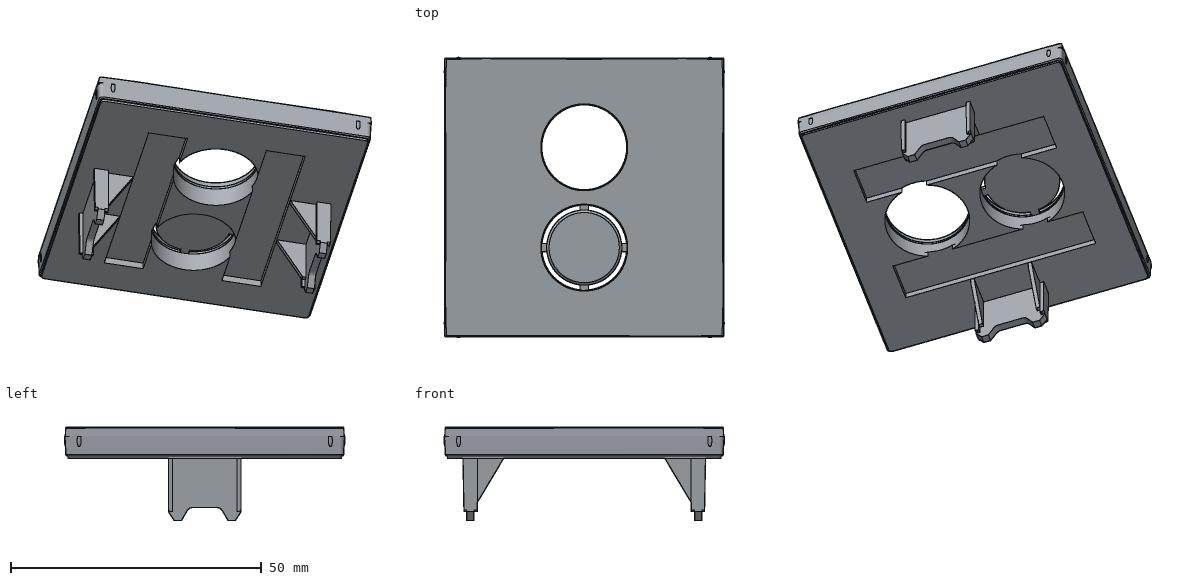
import cadquery as cq

seam_width = 55.66
top_width = 55.44
cap_depth = 1.85
cap_corner_radius = 0.3
cap_edge_chamfer = 0.25
base_depth = 5.7
base_bottom_width = 55.4
base_corner_radius = 0.75
base_bottom_chamfer = 0.25
plinth_inset = 0.4
plinth_depth = 6.22
total_height = 18.65

opening_offset = 10.0
opening_chamfer = 0.15
opening_radius = 8.52
middle_radius = 8.48
bore_radius = 8.45
middle_depth = 1.25

disc_radius = 7.5
disc_top_depth = 0.45
disc_chamfer = 0.5
disc_bottom_depth = cap_depth
spoke_width = 1.7
spoke_top_depth = 1.05
spoke_overlap = 0.5

nub_spacing = 50.1
nub_span = 55.9
nub_radius = 0.55
nub_straight_end = 2.95
nub_shoulder_depth = 3.45
nub_shoulder_radius = 0.5
nub_tip_depth = 3.95
nub_tip_radius = 0.35
nub_axis = nub_span / 2 - nub_radius

recess_inner_x = 8.05
recess_outer_x = 16.0
recess_length = 40.0
recess_depth = 1.5

leg_width = 14.5
leg_outer_x = 24.2
leg_inner_x = 21.3
leg_draft = 0.2
flange_thickness = 0.8
flange_bottom = 16.85
flange_end_chamfer_height = 0.45
flange_end_chamfer_width = 0.35
web_outer_x = 23.45
web_inner_x = 22.0
rib_inner_x = 16.05
rib_bottom = 15.0
foot_outer_y = 6.1
foot_inner_y = 4.65
notch_half_width = 3.15
notch_height = 2.6
notch_radius = 1.2
selection_margin = 0.1


def square_layer(upper_width, lower_width, top_depth, bottom_depth, corner_radius):
    """Square slab between two depths, with evenly sloping walls and rounded corners."""
    slab = cq.Workplane("XY", origin=(0, 0, -bottom_depth)).rect(lower_width, lower_width)
    slab = slab.workplane(offset=bottom_depth - top_depth).rect(upper_width, upper_width)
    return slab.loft(ruled=True).edges("not #Z").fillet(corner_radius)


def make_plate():
    cap = square_layer(top_width, seam_width, 0, cap_depth, cap_corner_radius)
    cap = cap.faces(">Z").edges().chamfer(cap_edge_chamfer)
    base = square_layer(seam_width, base_bottom_width, cap_depth, base_depth, base_corner_radius)
    base = base.faces("<Z").edges().chamfer(base_bottom_chamfer)
    plinth_width = base_bottom_width - 2 * plinth_inset
    plinth = square_layer(plinth_width, plinth_width, cap_depth, plinth_depth, base_corner_radius)
    return cap.union(base).union(plinth)


def make_opening(y):
    """Cutter for one opening: chamfered at the top, then stepping in twice to the bore."""
    profile = (
        cq.Workplane("XZ")
        .moveTo(0, 0)
        .lineTo(opening_radius + opening_chamfer, 0)
        .lineTo(opening_radius, -opening_chamfer)
        .lineTo(opening_radius, -middle_depth)
        .lineTo(middle_radius, -middle_depth)
        .lineTo(middle_radius, -cap_depth)
        .lineTo(bore_radius, -cap_depth)
        .lineTo(bore_radius, -plinth_depth)
        .lineTo(0, -plinth_depth)
        .close()
    )
    return profile.revolve(360, (0, 0), (0, 1)).translate((0, y, 0))


def make_disc():
    disc_thickness = disc_bottom_depth - disc_top_depth
    disc = cq.Workplane("XY").circle(disc_radius).extrude(disc_thickness)
    disc = disc.faces(">Z").chamfer(disc_chamfer)
    spoke_length = 2 * (opening_radius + spoke_overlap)
    spoke_thickness = disc_bottom_depth - spoke_top_depth
    for angle in (0, 90):
        spoke = cq.Workplane("XY").rect(spoke_length, spoke_width).extrude(spoke_thickness)
        disc = disc.union(spoke.rotate((0, 0, 0), (0, 0, 1), angle))
    return disc.translate((0, -opening_offset, -disc_bottom_depth))


def make_nub(offset):
    """Half-buried upright pin with a conical lower end, on the front wall."""
    profile = (
        cq.Workplane("XZ")
        .moveTo(0, -cap_depth)
        .lineTo(nub_radius, -cap_depth)
        .lineTo(nub_radius, -nub_straight_end)
        .lineTo(nub_shoulder_radius, -nub_shoulder_depth)
        .lineTo(nub_tip_radius, -nub_tip_depth)
        .lineTo(0, -nub_tip_depth)
        .close()
    )
    return profile.revolve(360, (0, 0), (0, 1)).translate((offset, -nub_axis, 0))


def make_recess():
    """Cutter for the underside recess on the -X half."""
    width = recess_outer_x - recess_inner_x
    center_x = -(recess_outer_x + recess_inner_x) / 2
    recess = cq.Workplane("XY", origin=(center_x, 0, -plinth_depth))
    return recess.rect(width, recess_length).extrude(recess_depth)


def make_web():
    half_width = leg_width / 2
    notch_top = total_height - notch_height
    outline = [
        (-half_width, -base_depth),
        (-half_width, -flange_bottom),
        (-foot_outer_y, -total_height),
        (-foot_inner_y, -total_height),
        (-notch_half_width, -notch_top),
        (notch_half_width, -notch_top),
        (foot_inner_y, -total_height),
        (foot_outer_y, -total_height),
        (half_width, -flange_bottom),
        (half_width, -base_depth),
    ]
    web = cq.Workplane("YZ", origin=(-web_outer_x, 0, 0)).polyline(outline).close()
    web = web.extrude(web_outer_x - web_inner_x)
    notch_corners = cq.selectors.BoxSelector(
        (-leg_outer_x, -notch_half_width - selection_margin, -notch_top - selection_margin),
        (-leg_inner_x, notch_half_width + selection_margin, -notch_top + selection_margin),
    )
    return web.edges("|X").edges(notch_corners).fillet(notch_radius)


def make_side_plate(outline, y_outer):
    """Plate in an XZ plane, from y_outer one flange thickness towards +Y."""
    plate = cq.Workplane("XZ", origin=(0, y_outer, 0)).polyline(outline).close()
    return plate.extrude(-flange_thickness)


def make_leg():
    """Leg on the -X side."""
    flange_outline = [
        (-leg_outer_x, -base_depth),
        (-leg_outer_x + leg_draft, -flange_bottom),
        (-leg_inner_x, -flange_bottom),
        (-leg_inner_x, -base_depth),
    ]
    rib_outline = [
        (-web_inner_x, -base_depth),
        (-web_inner_x, -rib_bottom),
        (-leg_inner_x, -rib_bottom),
        (-rib_inner_x, -plinth_depth),
        (-rib_inner_x, -base_depth),
    ]
    flange_y = -leg_width / 2
    flange = make_side_plate(flange_outline, flange_y)
    rib = make_side_plate(rib_outline, flange_y + flange_thickness)
    flange_end = flange.faces("<Y").edges("<Z")
    flange = flange_end.chamfer(flange_end_chamfer_height, flange_end_chamfer_width)
    side = flange.union(rib)
    return make_web().union(side).union(side.mirror("XZ"))


body = make_plate()
for opening_y in (opening_offset, -opening_offset):
    body = body.cut(make_opening(opening_y))
body = body.union(make_disc())

recess = make_recess()
body = body.cut(recess).cut(recess.mirror("YZ"))

leg = make_leg()
body = body.union(leg).union(leg.mirror("YZ"))

for wall_angle in (0, 90, 180, 270):
    for nub_x in (-nub_spacing / 2, nub_spacing / 2):
        body = body.union(make_nub(nub_x).rotate((0, 0, 0), (0, 0, 1), wall_angle))

result = body